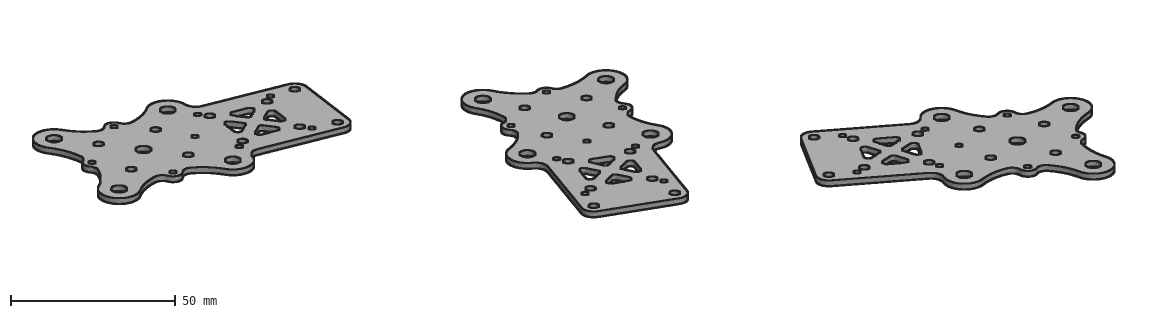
import cadquery as cq
import math

thickness = 2.0
width = 52.8
length = 90.9

lug_offset = 19.9
lug_radius = width / 2 - lug_offset
top_y = length - width / 2

tail_half_width = 17.1
tail_corner_radius = 4.0
neck_radius = 4.0

side_scoop_offset = 36.35
bottom_scoop_offset = 40.35
lobe_offset = 18.0
lobe_radius = 3.0
blend_radius = 3.0

large_hole = 4.8
medium_hole = 3.2
small_hole = 2.2
stack_half_pitch = 10.0
tail_small_half_pitch = 12.7
tail_pattern_y = 39.0
tail_corner_hole_x = tail_half_width - tail_corner_radius
tail_corner_hole_y = top_y - tail_corner_radius

window_apex = 2.9
window_base = 8.9
window_apex_radius = 1.0
window_base_radius = 1.4


def toward(start, target, distance):
    """Point at a signed distance from start along the line to target."""
    ratio = distance / math.dist(start, target)
    return (start[0] + ratio * (target[0] - start[0]), start[1] + ratio * (target[1] - start[1]))


def arc(path, centre, radius, middle_direction, end):
    """Add an arc about centre that passes through the given direction in degrees."""
    angle = math.radians(middle_direction)
    middle = (centre[0] + radius * math.cos(angle), centre[1] + radius * math.sin(angle))
    return path.threePointArc(middle, end)


def short_arc(path, centre, radius, start, end):
    """Add the shorter arc about centre from start to end."""
    chord_middle = ((start[0] + end[0]) / 2, (start[1] + end[1]) / 2)
    return path.threePointArc(toward(centre, chord_middle, radius), end)


def scoop_geometry(scoop_offset):
    """Scoop radius and blend-centre distances along and across the scoop axis."""
    scoop_radius = math.dist((scoop_offset, 0), (lug_offset, lug_offset)) - lug_radius
    to_lobe = lobe_radius + blend_radius
    to_scoop = scoop_radius - blend_radius
    spacing = scoop_offset - lobe_offset
    along = (spacing**2 + to_lobe**2 - to_scoop**2) / (2 * spacing)
    across = math.sqrt(to_lobe**2 - along**2)
    return scoop_radius, lobe_offset + along, across


def make_half_plate():
    """Right half of the plate, bounded by tangent arcs."""
    upper_lug = (lug_offset, lug_offset)
    lower_lug = (lug_offset, -lug_offset)

    neck_x = tail_half_width + neck_radius
    neck_y = lug_offset + math.sqrt((lug_radius + neck_radius) ** 2 - (neck_x - lug_offset) ** 2)
    neck = (neck_x, neck_y)
    neck_start = (tail_half_width, neck_y)
    neck_end = toward(upper_lug, neck, lug_radius)

    side_scoop = (side_scoop_offset, 0)
    side_radius, blend_along, blend_across = scoop_geometry(side_scoop_offset)
    side_lobe = (lobe_offset, 0)
    upper_blend = (blend_along, blend_across)
    upper_lug_end = toward(upper_lug, side_scoop, lug_radius)
    upper_scoop_end = toward(side_scoop, upper_blend, side_radius)
    lobe_top = toward(side_lobe, upper_blend, lobe_radius)
    lower_blend = (blend_along, -blend_across)
    lobe_bottom = (lobe_top[0], -lobe_top[1])
    lower_scoop_start = (upper_scoop_end[0], -upper_scoop_end[1])
    lower_lug_start = (upper_lug_end[0], -upper_lug_end[1])

    bottom_scoop = (0, -bottom_scoop_offset)
    bottom_radius, bottom_blend_along, bottom_blend_across = scoop_geometry(bottom_scoop_offset)
    bottom_blend = (bottom_blend_across, -bottom_blend_along)
    bottom_lobe = (0, -lobe_offset)
    lower_lug_end = toward(lower_lug, bottom_scoop, lug_radius)
    bottom_scoop_end = toward(bottom_scoop, bottom_blend, bottom_radius)
    bottom_lobe_start = toward(bottom_lobe, bottom_blend, lobe_radius)
    bottom_lobe_tip = (0, -lobe_offset - lobe_radius)

    path = cq.Workplane("XY").moveTo(0, top_y).lineTo(tail_corner_hole_x, top_y)
    corner_centre = (tail_corner_hole_x, tail_corner_hole_y)
    path = arc(path, corner_centre, tail_corner_radius, 45, (tail_half_width, tail_corner_hole_y))
    path = path.lineTo(*neck_start)
    path = short_arc(path, neck, neck_radius, neck_start, neck_end)
    path = arc(path, upper_lug, lug_radius, 0, upper_lug_end)
    path = short_arc(path, side_scoop, side_radius, upper_lug_end, upper_scoop_end)
    path = short_arc(path, upper_blend, blend_radius, upper_scoop_end, lobe_top)
    path = arc(path, side_lobe, lobe_radius, 0, lobe_bottom)
    path = short_arc(path, lower_blend, blend_radius, lobe_bottom, lower_scoop_start)
    path = short_arc(path, side_scoop, side_radius, lower_scoop_start, lower_lug_start)
    path = arc(path, lower_lug, lug_radius, -45, lower_lug_end)
    path = short_arc(path, bottom_scoop, bottom_radius, lower_lug_end, bottom_scoop_end)
    path = short_arc(path, bottom_blend, blend_radius, bottom_scoop_end, bottom_lobe_start)
    path = short_arc(path, bottom_lobe, lobe_radius, bottom_lobe_start, bottom_lobe_tip)
    return path.close().extrude(thickness)


def square_points(half_pitch, centre_y=0):
    """Corners of a square pattern centred on the Y axis."""
    return [(x, centre_y + y) for x in (-half_pitch, half_pitch) for y in (-half_pitch, half_pitch)]


def drill(plate, points, diameter):
    """Cut through holes at the given points."""
    holes = cq.Workplane("XY").pushPoints(points).circle(diameter / 2).extrude(thickness)
    return plate.cut(holes)


def make_window():
    """Rounded right-angled triangle pointing at the tail pattern centre from above."""
    half_base = window_base - window_apex
    corners = [(0, window_apex), (half_base, window_base), (-half_base, window_base)]
    window = cq.Workplane("XY").polyline(corners).close().extrude(thickness)
    window = window.edges("|Z and <Y").fillet(window_apex_radius)
    return window.edges("|Z and (<X or >X)").fillet(window_base_radius)


half_plate = make_half_plate()
result = half_plate.union(half_plate.mirror("YZ")).clean()

result = drill(result, square_points(lug_offset) + [(0, 0)], large_hole)

tail_corner_points = [(side * tail_corner_hole_x, tail_corner_hole_y) for side in (-1, 1)]
medium_points = square_points(stack_half_pitch) + square_points(stack_half_pitch, tail_pattern_y)
result = drill(result, medium_points + tail_corner_points, medium_hole)

lobe_points = [(lobe_offset, 0), (-lobe_offset, 0), (0, lobe_offset), (0, -lobe_offset)]
small_points = lobe_points + square_points(tail_small_half_pitch, tail_pattern_y)
result = drill(result, small_points, small_hole)

window = make_window()
for quarter_turn in range(4):
    turned_window = window.rotate((0, 0, 0), (0, 0, 1), 90 * quarter_turn)
    result = result.cut(turned_window.translate((0, tail_pattern_y, 0)))